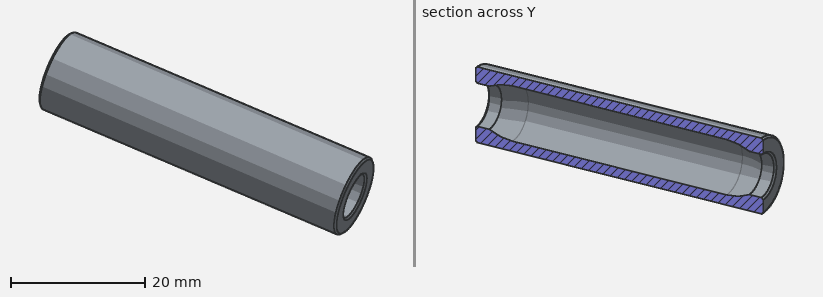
import cadquery as cq
import math

length = 50.0
outer_diameter = 12.5
bore_diameter = 7.0
edge_chamfer = 0.3
land_end = 2.4
relief_diameter = 9.0
transition_length = 4.0

outer_radius = outer_diameter / 2
bore_radius = bore_diameter / 2
relief_radius = relief_diameter / 2
transition_depth = relief_radius - bore_radius
relief_start = land_end + transition_length

arc_radius = (transition_length**2 + transition_depth**2) / (2 * transition_depth)
half_arc_angle = math.asin(transition_length / arc_radius) / 2
arc_middle_x = relief_start - arc_radius * math.sin(half_arc_angle)
arc_middle_radius = relief_radius - arc_radius * (1 - math.cos(half_arc_angle))


def sleeve():
    """Plain tube along X with the outer and bore edges chamfered at both ends."""
    tube = cq.Workplane("YZ").circle(outer_radius).circle(bore_radius).extrude(length)
    return tube.faces("<X or >X").edges().chamfer(edge_chamfer)


def bore_relief():
    """Revolved tool that widens the bore between the two end lands."""
    return (
        cq.Workplane("XY")
        .moveTo(land_end, 0)
        .lineTo(land_end, bore_radius)
        .threePointArc((arc_middle_x, arc_middle_radius), (relief_start, relief_radius))
        .lineTo(length - relief_start, relief_radius)
        .threePointArc((length - arc_middle_x, arc_middle_radius), (length - land_end, bore_radius))
        .lineTo(length - land_end, 0)
        .close()
        .revolve(360, (0, 0, 0), (1, 0, 0))
    )


result = sleeve().cut(bore_relief())